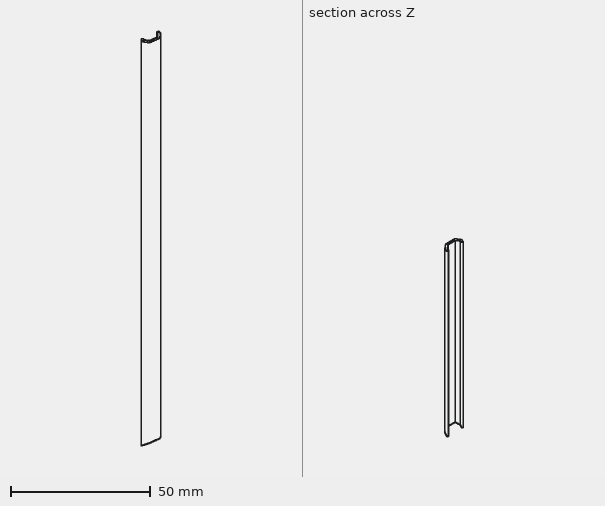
import cadquery as cq
import math

depth = 3.1
width = 7.5
length = 212.6

web_thickness = 0.91
flange_thickness = 0.86
outer_corner_cut = 1.65
inner_corner_cut = 1.33
outer_bend_radius = 0.56
lip_edge_radius = 0.27

mitre_angle = 45
mitre_rise = depth * math.tan(math.radians(mitre_angle))


def bevelled_bar(bar_depth, bar_width, corner_cut):
    """Full-length bar from X = 0, with its two +X corners bevelled."""
    bar = cq.Workplane("XY").box(bar_depth, bar_width, length, centered=(False, True, False))
    return bar.edges("|Z and >X").chamfer(corner_cut)


def channel():
    """Web at +X, sloped corners and two flanges with rounded lips."""
    outside = bevelled_bar(depth, width, outer_corner_cut)
    outside = outside.edges("|Z and (not <X)").fillet(outer_bend_radius)
    inside_depth = depth - web_thickness
    inside_width = width - 2 * flange_thickness
    inside = bevelled_bar(inside_depth, inside_width, inner_corner_cut)
    return outside.cut(inside).edges("|Z and <X").fillet(lip_edge_radius)


def mitre_wedge():
    """Material removed below the slanted lower end."""
    triangle = [(0, 0), (depth, 0), (depth, mitre_rise)]
    return cq.Workplane("XZ").polyline(triangle).close().extrude(width, both=True)


result = channel().cut(mitre_wedge())